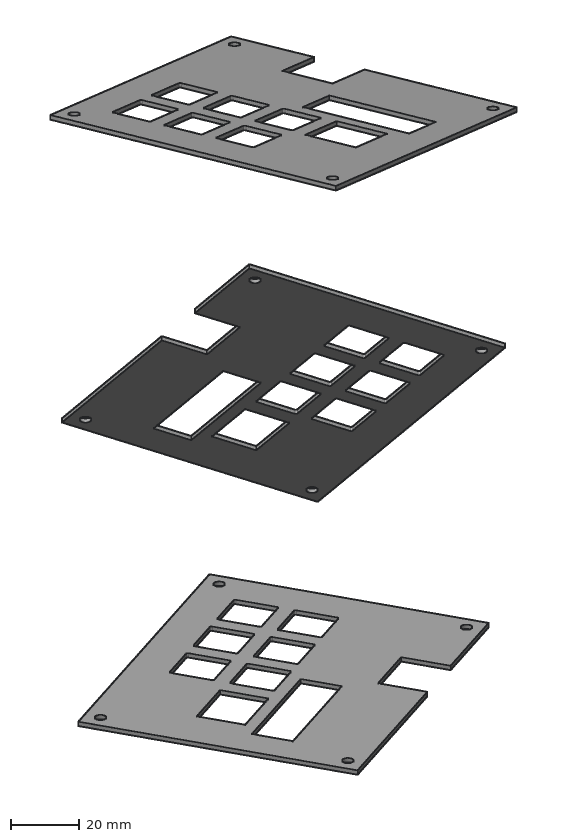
import cadquery as cq

PLATE_LENGTH = 105.0
PLATE_WIDTH = 88.0
PLATE_THICKNESS = 1.5

SCREW_DIAMETER = 3.4
SCREW_INSET = 5.0

KEY_SIZE = 14.0
KEY_CORNER_RADIUS = 0.5
KEY_PITCH = 19.0
KEY_COLUMNS = 3
KEY_ROWS = 2
KEY_GRID_X = -13.5
KEY_GRID_Y = -14.6

DISPLAY_LENGTH = 39.1
DISPLAY_WIDTH = 12.9
DISPLAY_X = 21.9
DISPLAY_Y = 12.8

WINDOW_LENGTH = 18.6
WINDOW_WIDTH = 15.2
WINDOW_X = 27.1
WINDOW_Y = -5.4

NOTCH_LENGTH = 18.5
NOTCH_DEPTH = 15.5
NOTCH_X = -12.7


def rectangular_block(length, width, x, y):
    """Full-thickness block centred on (x, y)."""
    return (
        cq.Workplane("XY")
        .center(x, y)
        .rect(length, width)
        .extrude(PLATE_THICKNESS)
    )


def screw_holes():
    return (
        cq.Workplane("XY")
        .rect(PLATE_LENGTH - 2 * SCREW_INSET, PLATE_WIDTH - 2 * SCREW_INSET, forConstruction=True)
        .vertices()
        .circle(SCREW_DIAMETER / 2)
        .extrude(PLATE_THICKNESS)
    )


def key_openings():
    return (
        cq.Workplane("XY")
        .center(KEY_GRID_X, KEY_GRID_Y)
        .rarray(KEY_PITCH, KEY_PITCH, KEY_COLUMNS, KEY_ROWS)
        .rect(KEY_SIZE, KEY_SIZE)
        .extrude(PLATE_THICKNESS)
        .edges("|Z")
        .fillet(KEY_CORNER_RADIUS)
    )


plate = rectangular_block(PLATE_LENGTH, PLATE_WIDTH, 0, 0)
display_window = rectangular_block(DISPLAY_LENGTH, DISPLAY_WIDTH, DISPLAY_X, DISPLAY_Y)
small_window = rectangular_block(WINDOW_LENGTH, WINDOW_WIDTH, WINDOW_X, WINDOW_Y)
edge_notch = rectangular_block(NOTCH_LENGTH, NOTCH_DEPTH, NOTCH_X, (PLATE_WIDTH - NOTCH_DEPTH) / 2)

result = (
    plate
    .cut(screw_holes())
    .cut(key_openings())
    .cut(display_window)
    .cut(small_window)
    .cut(edge_notch)
)